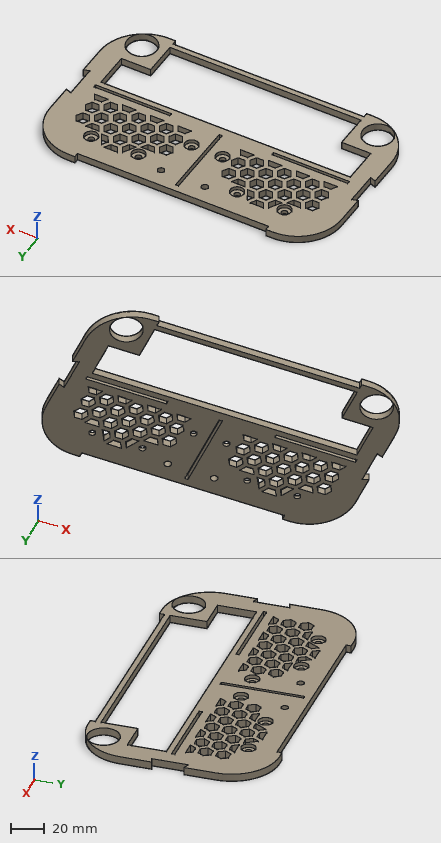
import cadquery as cq
import math

length = 200.0
width = 120.0
thickness = 5.0
corner_radius = 30.0

middle_half_length = 65.5

edge_recess_depth = 3.2

notch_depth = 3.8
notch_mouth_half_width = 10.0
notch_floor_half_width = 11.5

window_top_y = -5.8
window_step_y = -30.2
window_bottom_y = -53.2
window_half_length = 85.5

corner_hole_diameter = 20.0
corner_hole_x = 80.8
corner_hole_y = -46.5

slot_length = 52.0
slot_width = 2.0
center_slot_y = 26.0
side_slot_x = 61.0
side_slot_y = -1.0

pin_hole_diameter = 4.5
pin_hole_x = 15.0
pin_hole_y = 45.0

grille_x = 50.0
grille_y = 22.0
hex_across_flats = 8.0
hex_pitch = 11.0
hex_circumradius = hex_across_flats / math.sqrt(3)
column_pitch = hex_pitch * math.sqrt(3) / 2

screw_hole_diameter = 4.0
counterbore_diameter = 9.0
counterbore_depth = 2.5
upper_screw_offset = 16.2
upper_screw_y = 39.2
inner_screw_x = 10.5
inner_screw_y = 16.2

full_cells = [(0, -1), (0, 0), (0, 1)]
for side in (-1, 1):
    full_cells += [(side * column, row) for column in (1, 3) for row in (-0.5, 0.5)]
    full_cells += [(side * 2, row) for row in (-1, 0)]

half_cells = [(0, 2, 3), (-1, 1.5, 4), (1, 1.5, 2)]
for side in (-1, 1):
    half_cells += [(side * 2, 1, 3), (side * 1, -1.5, 0), (side * 3, -1.5, 0)]


def through_box(x_min, x_max, y_min, y_max):
    """Rectangular cutter through the full thickness."""
    size_x = x_max - x_min
    size_y = y_max - y_min
    return cq.Workplane("XY").box(size_x, size_y, thickness, centered=False).translate((x_min, y_min, 0))


def cell_cutter(column, row, first_vertex, vertex_count):
    """Prism on consecutive hexagon vertices: six make a full cell, four make a half cell."""
    x = grille_x + column * column_pitch
    y = grille_y + row * hex_pitch
    points = []
    for vertex in range(first_vertex, first_vertex + vertex_count):
        angle = vertex * math.pi / 3
        points.append((x + hex_circumradius * math.cos(angle), y + hex_circumradius * math.sin(angle)))
    return cq.Workplane("XY").polyline(points).close().extrude(thickness)


def round_holes(places, diameter, depth):
    """Cylindrical cutters going down from the top face."""
    top_face = cq.Workplane("XY").workplane(offset=thickness)
    return top_face.pushPoints(places).circle(diameter / 2).extrude(-depth)


def both_sides(points):
    """The given points and their mirror images across the center line."""
    return points + [(-x, y) for x, y in points]


plate = cq.Workplane("XY").box(length, width, thickness, centered=(True, True, False))
plate = plate.edges("|Z").fillet(corner_radius)

recess_y = width / 2 - edge_recess_depth
plate = plate.cut(through_box(-middle_half_length, middle_half_length, recess_y, width / 2))
plate = plate.cut(through_box(-middle_half_length, middle_half_length, -width / 2, -recess_y))

for side in (-1, 1):
    mouth_x = side * length / 2
    floor_x = side * (length / 2 - notch_depth)
    notch_outline = [
        (mouth_x, notch_mouth_half_width),
        (floor_x, notch_floor_half_width),
        (floor_x, -notch_floor_half_width),
        (mouth_x, -notch_mouth_half_width),
    ]
    plate = plate.cut(cq.Workplane("XY").polyline(notch_outline).close().extrude(thickness))

plate = plate.cut(through_box(-window_half_length, window_half_length, window_step_y, window_top_y))
plate = plate.cut(through_box(-middle_half_length, middle_half_length, window_bottom_y, window_step_y))

slots = cq.Workplane("XY").center(0, center_slot_y).rect(slot_width, slot_length).extrude(thickness)
side_slot_places = both_sides([(side_slot_x, side_slot_y)])
slots = slots.union(
    cq.Workplane("XY").pushPoints(side_slot_places).rect(slot_length, slot_width).extrude(thickness)
)
plate = plate.cut(slots)

for column, row in full_cells:
    cell = cell_cutter(column, row, 0, 6)
    plate = plate.cut(cell).cut(cell.mirror("YZ"))
for column, row, first_vertex in half_cells:
    cell = cell_cutter(column, row, first_vertex, 4)
    plate = plate.cut(cell).cut(cell.mirror("YZ"))

screw_places = both_sides([
    (grille_x - upper_screw_offset, upper_screw_y),
    (grille_x + upper_screw_offset, upper_screw_y),
    (inner_screw_x, inner_screw_y),
])
pin_places = both_sides([(pin_hole_x, pin_hole_y)])
corner_hole_places = both_sides([(corner_hole_x, corner_hole_y)])
plate = plate.cut(round_holes(screw_places, counterbore_diameter, counterbore_depth))
plate = plate.cut(round_holes(screw_places, screw_hole_diameter, thickness))
plate = plate.cut(round_holes(pin_places, pin_hole_diameter, thickness))
plate = plate.cut(round_holes(corner_hole_places, corner_hole_diameter, thickness))

result = plate